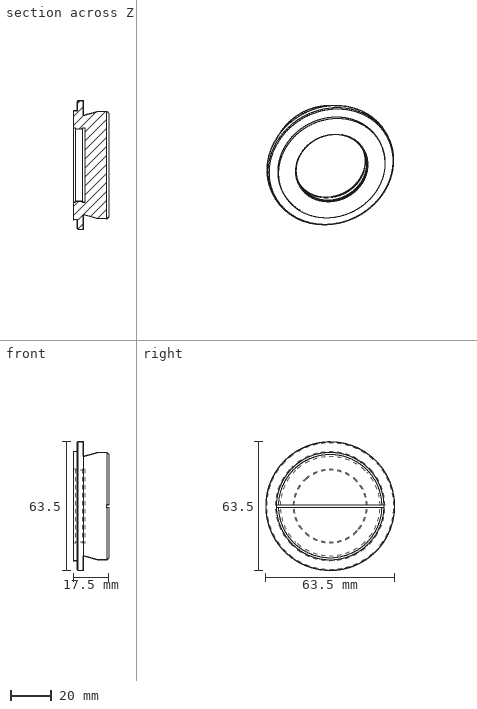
import cadquery as cq

total_length = 17.5
flange_radius = 31.75

step_radius = 26.9
step_length = 1.8
flange_back = 4.8
flange_chamfer = 0.5

neck_radius = 24.5
plug_radius = 26.5
taper_end = 11.95
plug_chamfer = 1.0

bore_radius = 17.8
mouth_radius = 18.2
mouth_depth = 0.9
lip_length = 0.2
undercut_radius = 18.2
undercut_start = 4.45
recess_depth = 5.6

slot_width = 1.35
slot_depth = 1.15


def make_body():
    """Revolve the outer half profile, drawn as (x, radius), about X."""
    profile = [
        (0, 0),
        (0, step_radius),
        (step_length, step_radius),
        (step_length, flange_radius - flange_chamfer),
        (step_length + flange_chamfer, flange_radius),
        (flange_back, flange_radius),
        (flange_back, neck_radius),
        (taper_end, plug_radius),
        (total_length - plug_chamfer, plug_radius),
        (total_length, plug_radius - plug_chamfer),
        (total_length, 0),
    ]
    return cq.Workplane("XY").polyline(profile).close().revolve(360, (0, 0), (1, 0))


def make_recess():
    """Revolve the stepped blind recess, drawn as (x, radius), about X."""
    profile = [
        (0, 0),
        (0, mouth_radius),
        (mouth_depth, mouth_radius),
        (mouth_depth + lip_length, bore_radius),
        (undercut_start, bore_radius),
        (undercut_start, undercut_radius),
        (recess_depth, undercut_radius),
        (recess_depth, 0),
    ]
    return cq.Workplane("XY").polyline(profile).close().revolve(360, (0, 0), (1, 0))


def make_slot():
    """Straight slot running along Y through the whole back face."""
    slot = cq.Workplane("XY").box(slot_depth, 2 * flange_radius, slot_width)
    return slot.translate((total_length - slot_depth / 2, 0, 0))


result = make_body().cut(make_recess()).cut(make_slot())